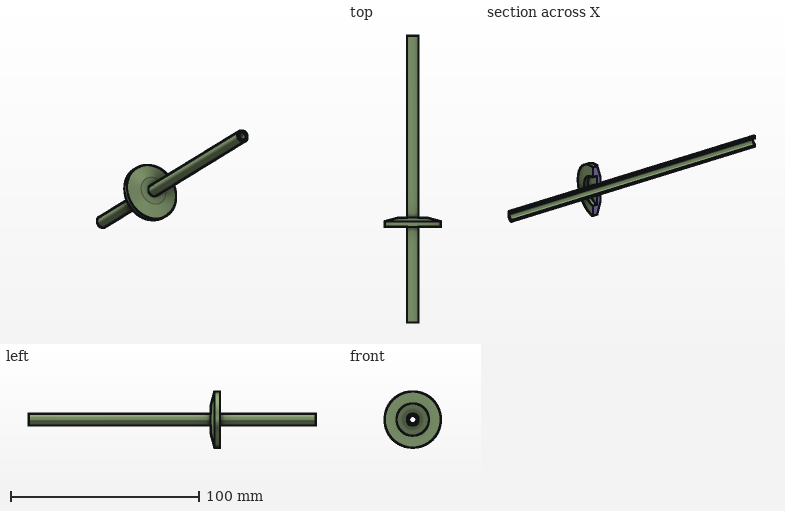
import cadquery as cq
import math

flange_diameter = 30.0
flange_thickness = 5.0
taper_angle = 15.0
back_face_diameter = 15.0
recess_diameter = 17.2
recess_depth = 2.5

tube_outer_diameter = 6.35
tube_bore_diameter = 3.95
tube_length = 152.4
tube_front_length = tube_length / 3

taper_height = (flange_diameter - back_face_diameter) / 2 * math.tan(math.radians(taper_angle))
rim_thickness = flange_thickness - taper_height


def make_flange():
    """Revolve the flange section about Y, with the sealing face at Y = 0."""
    hole_radius = tube_outer_diameter / 2
    recess_radius = recess_diameter / 2
    rim_radius = flange_diameter / 2
    section = (
        cq.Workplane("XY")
        .moveTo(hole_radius, recess_depth)
        .lineTo(recess_radius, recess_depth)
        .lineTo(recess_radius, 0)
        .lineTo(rim_radius, 0)
        .lineTo(rim_radius, rim_thickness)
        .lineTo(back_face_diameter / 2, flange_thickness)
        .lineTo(hole_radius, flange_thickness)
        .close()
    )
    return section.revolve(360, (0, 0, 0), (0, 1, 0))


def make_tube():
    """Extrude the tube's ring section from its front end toward +Y."""
    return (
        cq.Workplane("XZ", origin=(0, -tube_front_length, 0))
        .circle(tube_outer_diameter / 2)
        .circle(tube_bore_diameter / 2)
        .extrude(-tube_length)
    )


flange = make_flange()
tube = make_tube()

result = cq.Compound.makeCompound([flange.val(), tube.val()])